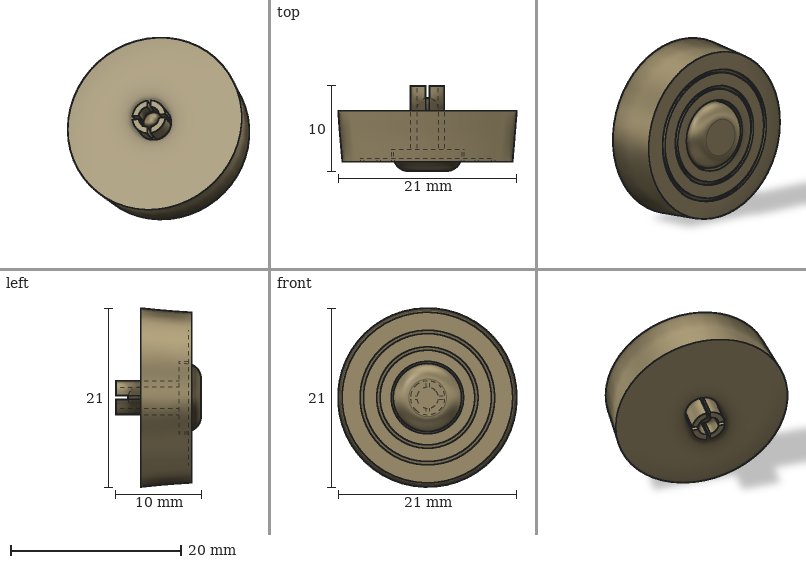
import cadquery as cq

foot_thickness = 6.0
foot_front_radius = 10.0
foot_back_radius = 10.5

groove_inner_radii = (5.55, 7.5)
groove_width = 0.4
groove_depth = 0.4

recess_radius = 4.25
recess_depth = 1.5

sleeve_radius = 2.0
sleeve_projection = 2.9
slot_width = 0.44

head_radius = 4.0
head_projection = 1.1
head_rounding = 1.8
shank_radius = 1.25
shank_projection = 1.5

sleeve_tip = foot_thickness + sleeve_projection


def cylinder(radius, start, end):
    """Solid cylinder on the Y axis between two Y positions."""
    return cq.Workplane("XZ", origin=(0, end, 0)).circle(radius).extrude(end - start)


def make_foot():
    profile = [
        (0, 0),
        (foot_front_radius, 0),
        (foot_back_radius, foot_thickness),
        (0, foot_thickness),
    ]
    foot = cq.Workplane("XY").polyline(profile).close().revolve(360, (0, 0), (0, 1))
    for inner_radius in groove_inner_radii:
        groove = cylinder(inner_radius + groove_width, 0, groove_depth)
        foot = foot.cut(groove.cut(cylinder(inner_radius, 0, groove_depth)))
    foot = foot.cut(cylinder(recess_radius, 0, recess_depth))
    return foot.cut(cylinder(sleeve_radius, recess_depth, foot_thickness))


def make_sleeve():
    sleeve = cylinder(sleeve_radius, recess_depth, sleeve_tip)
    sleeve = sleeve.cut(cylinder(shank_radius, recess_depth, sleeve_tip))
    slot_center = (0, foot_thickness + sleeve_projection / 2, 0)
    slot_length = 2 * sleeve_radius
    for size_x, size_z in ((slot_width, slot_length), (slot_length, slot_width)):
        slot = cq.Workplane("XY").box(size_x, sleeve_projection, size_z).translate(slot_center)
        sleeve = sleeve.cut(slot)
    return sleeve


def make_pin():
    head = cylinder(head_radius, -head_projection, recess_depth).faces("<Y").edges().fillet(head_rounding)
    shank_end = foot_thickness + shank_projection - shank_radius
    shank = cylinder(shank_radius, recess_depth, shank_end)
    tip = cq.Workplane("XY").sphere(shank_radius).translate((0, shank_end, 0))
    return head.union(shank).union(tip)


foot = make_foot()
sleeve = make_sleeve()
pin = make_pin()

result = cq.Compound.makeCompound([foot.val(), sleeve.val(), pin.val()])